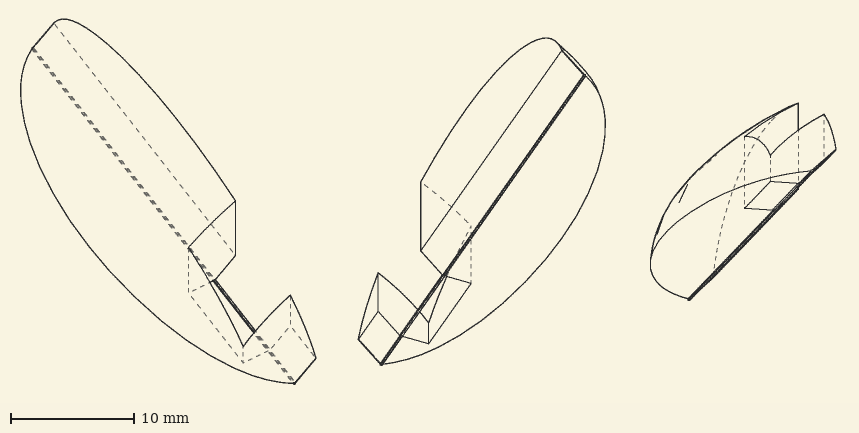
import cadquery as cq
import math

length = 40.5
height = 10.15
depth = 8.85
chamfer = 2.02
chamfer_heel = 1.95

crest_x = 19.45
end_trim = 0.95
end_growth = 0.01
quarter_bulges = [1.0, 1.55, 1.5]
section_count = 15

notch_start = 28.05
notch_end = 36.55
notch_depth = 4.5

base_z = 0.12
lip_width = 0.15
lip_height = 0.2


def dome_section(angle):
    """Cross-section at a lengthwise angle running from 0 (left end) to pi (right end)."""
    offset = -math.cos(angle)
    half_length = crest_x if offset < 0 else length - crest_x
    x = crest_x + half_length * offset
    tip_height = math.sqrt(1 - end_trim)
    ellipse_height = math.sqrt(1 - end_trim * offset**2)
    growth = max(end_growth, (ellipse_height - tip_height) / (1 - tip_height))
    top = chamfer + (height - chamfer) * growth
    front = chamfer + (depth - chamfer) * growth

    rise = top - base_z
    chord = math.hypot(front, rise)
    curve = []
    for quarter, full_bulge in enumerate(quarter_bulges, start=1):
        along = quarter / 4
        bulge = full_bulge * growth
        curve.append(
            (-front * along - bulge * rise / chord, top - rise * along + bulge * front / chord)
        )
    curve.append((-front, base_z))

    return (
        cq.Workplane("YZ", origin=(x, 0, 0))
        .moveTo(0, chamfer)
        .lineTo(0, top)
        .spline(curve, includeCurrent=True)
        .lineTo(-chamfer_heel, base_z)
        .close()
        .val()
    )


def make_dome():
    angles = [math.pi * i / (section_count - 1) for i in range(section_count)]
    return cq.Workplane(cq.Solid.makeLoft([dome_section(a) for a in angles]))


def make_notch():
    return cq.Workplane().box(
        notch_end - notch_start, notch_depth, height, centered=False
    ).translate((notch_start, -notch_depth, 0))


def make_lip():
    return cq.Workplane().box(length, lip_width, lip_height, centered=False).translate(
        (0, -chamfer_heel - lip_width, 0)
    )


result = make_dome().cut(make_notch()).union(make_lip())